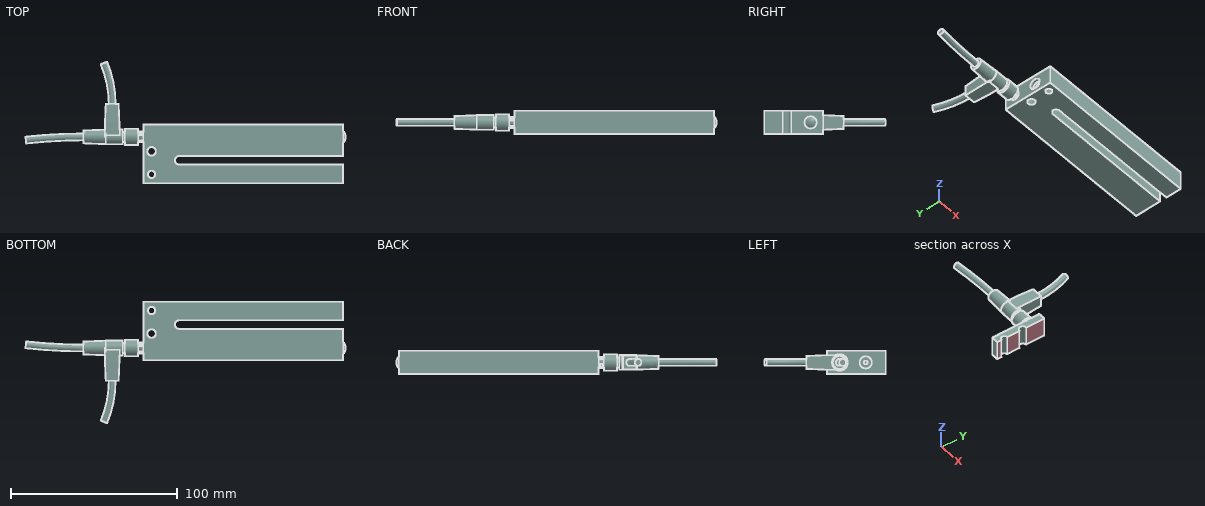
import cadquery as cq

housing_length = 120.0
housing_width = 35.4
housing_height = 14.0
mid_height = housing_height / 2

slot_width = 5.0
slot_start = 19.0
slot_axis_y = 13.8

hole_x = 5.0
small_hole_y = 5.4
small_hole_diameter = 4.2
large_hole_y = 19.2
large_hole_diameter = 5.0

recess_y = 12.1
recess_diameter = 7.3
recess_depth = 2.7
adjuster_hole_diameter = 2.3
adjuster_hole_depth = 1.0

plug_y = 27.9
lens_radius = 3.7
lens_height = 1.5

socket_radius = 3.0
socket_length = 3.0
lamp_count = 4
lamp_size = 1.63
lamp_rise = 0.4
lamp_x = -1.7
lamp_tilt_degrees = -33

nut_start_x = -socket_length
nut_end_x = -11.0
body_start_x = -12.3
body_end_x = -22.5
boot_end_x = -36.0
nut_radius = 5.0
neck_radius = 3.0
body_radius = 9.0 / 2
boot_large_radius = 8.8 / 2
boot_small_radius = 7.9 / 2

cable_radius = 2.1
straight_cable_end = (-70.5, plug_y - 2.0)
angled_cable_end = (-23.6, 72.3)

outlet_x = -18.6
outlet_size = 8.8
outlet_end_size = 7.9
outlet_taper_y = 36.3
outlet_end_y = 47.7


def make_housing():
    housing = cq.Workplane("XY").box(housing_length, housing_width, housing_height, centered=False)
    return housing.cut(make_slot()).cut(make_mounting_holes()).cut(make_adjuster_recess())


def make_slot():
    round_center_x = slot_start + slot_width / 2
    slot = (
        cq.Workplane("XY")
        .center(round_center_x, slot_axis_y - slot_width / 2)
        .box(housing_length - round_center_x, slot_width, housing_height, centered=False)
    )
    round_end = (
        cq.Workplane("XY")
        .center(round_center_x, slot_axis_y)
        .circle(slot_width / 2)
        .extrude(housing_height)
    )
    return slot.union(round_end)


def make_mounting_holes():
    small_hole = cq.Workplane("XY").center(hole_x, small_hole_y).circle(small_hole_diameter / 2)
    large_hole = cq.Workplane("XY").center(hole_x, large_hole_y).circle(large_hole_diameter / 2)
    return small_hole.extrude(housing_height).add(large_hole.extrude(housing_height)).combine()


def make_adjuster_recess():
    axis = cq.Workplane("YZ").center(recess_y, mid_height)
    recess = axis.circle(recess_diameter / 2).extrude(recess_depth)
    adjuster_hole = axis.circle(adjuster_hole_diameter / 2).extrude(recess_depth + adjuster_hole_depth)
    return recess.union(adjuster_hole)


def revolve_about_plug_axis(profile):
    """Turn a half profile, drawn as (x, radius), about the plug axis."""
    return profile.close().revolve(360, (0, 0, 0), (1, 0, 0)).translate((0, plug_y, mid_height))


def make_lens():
    sphere_radius = (lens_radius**2 + lens_height**2) / (2 * lens_height)
    half_height = lens_height / 2
    half_height_radius = (sphere_radius**2 - (sphere_radius - half_height) ** 2) ** 0.5
    profile = (
        cq.Workplane("XY")
        .moveTo(housing_length, 0)
        .lineTo(housing_length, lens_radius)
        .threePointArc(
            (housing_length + half_height, half_height_radius),
            (housing_length + lens_height, 0),
        )
    )
    return revolve_about_plug_axis(profile)


def make_socket():
    socket = (
        cq.Workplane("YZ")
        .center(plug_y, mid_height)
        .circle(socket_radius)
        .extrude(-socket_length)
    )
    lamp_top = socket_radius + lamp_rise
    for index in range(lamp_count):
        lamp = (
            cq.Workplane("XY", origin=(lamp_x, 0, lamp_top / 2))
            .rect(lamp_size, lamp_size)
            .extrude(lamp_top / 2)
            .rotate((0, 0, 0), (1, 0, 0), lamp_tilt_degrees + index * 360 / lamp_count)
            .translate((0, plug_y, mid_height))
        )
        socket = socket.union(lamp)
    return socket


def make_bent_cable(start, start_direction, end):
    """Sweep a round cable in the middle plane, leaving `start` tangent to `start_direction`."""
    path = cq.Edge.makeTangentArc(
        cq.Vector(*start, mid_height),
        cq.Vector(*start_direction, 0),
        cq.Vector(*end, mid_height),
    )
    section = cq.Plane(origin=(*start, mid_height), xDir=(0, 0, 1), normal=(*start_direction, 0))
    return cq.Workplane(section).circle(cable_radius).sweep(cq.Wire.assembleEdges([path]))


def make_plug_shell():
    profile = cq.Workplane("XY").polyline([
        (nut_start_x, 0),
        (nut_start_x, nut_radius),
        (nut_end_x, nut_radius),
        (nut_end_x, neck_radius),
        (body_start_x, neck_radius),
        (body_start_x, body_radius),
        (body_end_x, body_radius),
        (body_end_x, boot_large_radius),
        (boot_end_x, boot_small_radius),
        (boot_end_x, 0),
    ])
    return revolve_about_plug_axis(profile)


def make_straight_plug():
    cable = make_bent_cable((boot_end_x, plug_y), (-1, 0), straight_cable_end)
    return make_plug_shell().union(cable)


def make_angled_outlet():
    saddle = (
        cq.Workplane("XZ", origin=(outlet_x, plug_y, mid_height))
        .rect(outlet_size, outlet_size)
        .extrude(plug_y - outlet_taper_y)
        .cut(make_plug_shell())
    )
    taper = (
        cq.Workplane("XZ", origin=(outlet_x, outlet_taper_y, mid_height))
        .rect(outlet_size, outlet_size)
        .workplane(offset=outlet_taper_y - outlet_end_y)
        .rect(outlet_end_size, outlet_end_size)
        .loft(ruled=True)
    )
    cable = make_bent_cable((outlet_x, outlet_end_y), (0, 1), angled_cable_end)
    return saddle.union(taper).union(cable)


housing = make_housing()
lens = make_lens()
socket = make_socket()
straight_plug = make_straight_plug()
angled_outlet = make_angled_outlet()

result = cq.Compound.makeCompound([
    housing.val(),
    lens.val(),
    socket.val(),
    straight_plug.val(),
    angled_outlet.val(),
])